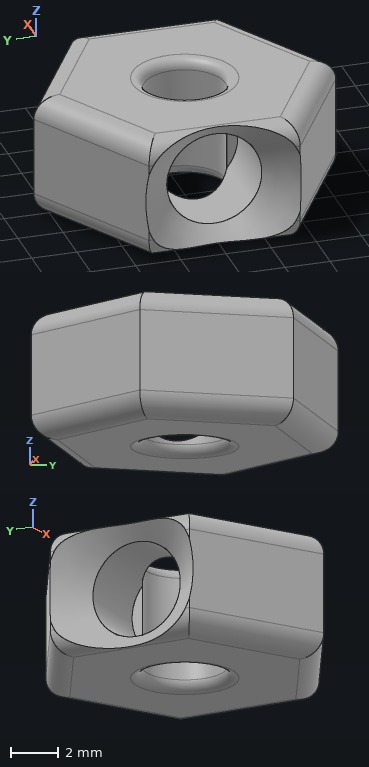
import cadquery as cq
import math

across_corners = 13.39
across_flats = across_corners * math.cos(math.radians(30))
height = 5.5
edge_radius = 1.0

bore_diameter = 3.6
bore_lip_radius = 0.5

side_hole_diameter = 4.2
side_hole_depth = 5.0
countersink_diameter = 7.2
countersink_angle = 90.0


def hexagonal_body():
    """Hexagonal prism centred on the origin with rounded top and bottom rims."""
    prism = (
        cq.Workplane("XY")
        .polygon(6, across_corners)
        .extrude(height / 2, both=True)
        .rotate((0, 0, 0), (0, 0, 1), 30)
    )
    return prism.faces("|Z").edges().fillet(edge_radius)


def flared_bore():
    """Bore cutter whose rounded lips widen towards both end faces."""
    bore_radius = bore_diameter / 2
    lip_outer = bore_radius + bore_lip_radius
    half_height = height / 2
    lip_start = half_height - bore_lip_radius
    arc_offset = bore_lip_radius * math.sqrt(0.5)
    arc_mid_radius = lip_outer - arc_offset
    arc_mid_height = lip_start + arc_offset
    return (
        cq.Workplane("XZ")
        .moveTo(0, -half_height)
        .lineTo(lip_outer, -half_height)
        .threePointArc((arc_mid_radius, -arc_mid_height), (bore_radius, -lip_start))
        .lineTo(bore_radius, lip_start)
        .threePointArc((arc_mid_radius, arc_mid_height), (lip_outer, half_height))
        .lineTo(0, half_height)
        .close()
        .revolve(360, (0, 0, 0), (0, 1, 0))
    )


def side_hole():
    """Countersunk blind hole cutter, revolved about the X axis."""
    face_x = -across_flats / 2
    hole_radius = side_hole_diameter / 2
    sink_radius = countersink_diameter / 2
    sink_depth = (sink_radius - hole_radius) / math.tan(math.radians(countersink_angle / 2))
    return (
        cq.Workplane("XY")
        .moveTo(face_x, 0)
        .lineTo(face_x, sink_radius)
        .lineTo(face_x + sink_depth, hole_radius)
        .lineTo(face_x + side_hole_depth, hole_radius)
        .lineTo(face_x + side_hole_depth, 0)
        .close()
        .revolve(360, (0, 0, 0), (1, 0, 0))
    )


result = hexagonal_body().cut(flared_bore()).cut(side_hole())